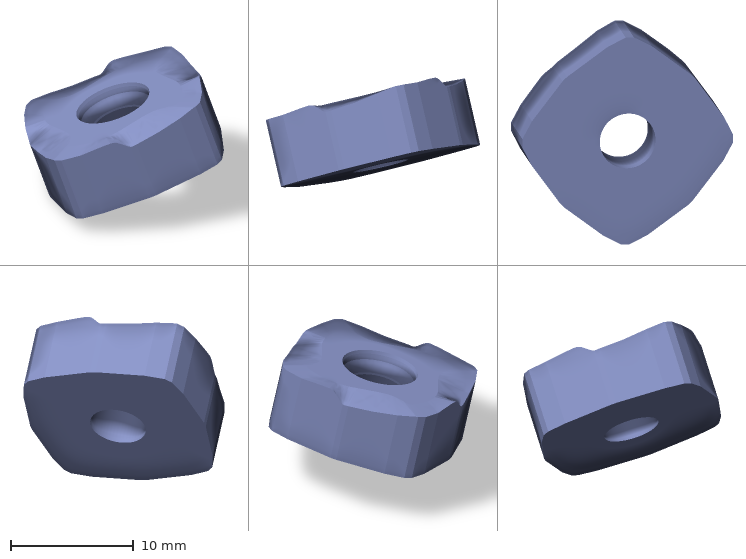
import cadquery as cq
import math

AXIS = cq.Vector(-0.31, -0.086, 0.95)
HEADING_DEG = -14.1

CORNERS = 4
FLAT_HEIGHT = 5.63
CORNER_HEIGHT = 5.57
BREAK_HEIGHT = 5.34
CREST_HEIGHT = 5.75
VALLEY_HEIGHT = 4.9
RISE_HEIGHT = 5.05
CREST_FRACTION = 0.64
HALFWAY = 0.5

CORNER = (8.69, 0)
FACET_START = (8.69, 0.35)
FACET_END = (8.62, 0.49)
SHOULDER = (7.93, 1.82)
MID_SIDE = (5.48, 5.12)

BORE_RADIUS = 4.6 / 2
RIM_RADIUS = 3.14
BEVEL_RADIUS = 3.05
BEVEL_DEPTH = 0.29
SEAT_TOP_RADIUS = 2.95
SEAT_TOP_DEPTH = 0.75
SEAT_MID_RADIUS = 2.61
SEAT_MID_DEPTH = 1.14
SEAT_END_RADIUS = 2.4
SEAT_END_DEPTH = 1.68
BORE_START_DEPTH = 1.8


def between(start, end, fraction):
    """Point part of the way from start to end."""
    return tuple(a + fraction * (b - a) for a, b in zip(start, end))


def mirrored(point):
    """Mirror image about the quadrant's diagonal."""
    return point[1], point[0]


def turned(point, height, quadrant):
    """Point of the first quadrant, moved to another quadrant and height."""
    spot = cq.Vector(point[0], point[1], height)
    turn = cq.Plane.XY().rotated((0, 0, quadrant * 360 / CORNERS))
    return turn.toWorldCoords(spot)


STATIONS = [
    (CORNER, CORNER_HEIGHT, (6.6, 0)),
    (FACET_START, CORNER_HEIGHT, (6.53, 0.4)),
    (FACET_END, CORNER_HEIGHT, (6.45, 0.63)),
    (SHOULDER, CORNER_HEIGHT, (6.04, 1.65)),
    (between(SHOULDER, MID_SIDE, CREST_FRACTION), CREST_HEIGHT, (5.23, 2.67)),
    (MID_SIDE, VALLEY_HEIGHT, (4.33, 3.35)),
    (mirrored(MID_SIDE), VALLEY_HEIGHT, (3.7, 3.65)),
    (mirrored(between(SHOULDER, MID_SIDE, HALFWAY)), RISE_HEIGHT, (2.07, 4.36)),
    (mirrored(SHOULDER), BREAK_HEIGHT, (1.14, 4.98)),
    (mirrored(FACET_END), CORNER_HEIGHT, (0.52, 5.95)),
    (mirrored(FACET_START), CORNER_HEIGHT, (0.32, 6.45)),
]


def slopes(values):
    """Central-difference directions at the points of a closed loop."""
    count = len(values)
    return [(values[(i + 1) % count] - values[i - 1]).normalized() for i in range(count)]


def edge_curve(start, end, start_slope, end_slope):
    """Cutting edge over one flat side, leaving and arriving at the given slopes."""
    run = cq.Vector(end.x - start.x, end.y - start.y, 0).normalized()
    lift = cq.Vector(0, 0, 1)
    tangents = [run + lift * start_slope, run + lift * end_slope]
    return cq.Edge.makeSpline([start, end], tangents=tangents)


def make_body():
    """Insert without its hole: flat centre, wavy rake faces, upright sides."""
    places = [(quadrant, station) for quadrant in range(CORNERS) for station in STATIONS]
    foot = [turned(outline, 0, q) for q, (outline, height, inner) in places]
    rim = [turned(outline, height, q) for q, (outline, height, inner) in places]
    centre = [turned(inner, FLAT_HEIGHT, q) for q, (outline, height, inner) in places]
    headings = slopes(centre)
    rises = [d.z / math.hypot(d.x, d.y) for d in slopes(rim)]
    crest = [height == CREST_HEIGHT for q, (outline, height, inner) in places]
    rises = [0 if top else rise for top, rise in zip(crest, rises)]

    faces = []
    foot_edges = []
    centre_edges = []
    for here in range(len(places)):
        after = (here + 1) % len(places)
        bottom = cq.Edge.makeLine(foot[here], foot[after])
        cutting = edge_curve(rim[here], rim[after], rises[here], rises[after])
        inner = cq.Edge.makeSpline(
            [centre[here], centre[after]], tangents=[headings[here], headings[after]]
        )
        uprights = [cq.Edge.makeLine(foot[i], rim[i]) for i in (here, after)]
        side = cq.Wire.assembleEdges([bottom, uprights[1], cutting, uprights[0]])
        faces.append(cq.Face.makeFromWires(side))
        faces.append(cq.Face.makeRuledSurface(inner, cutting))
        foot_edges.append(bottom)
        centre_edges.append(inner)
    faces.append(cq.Face.makeFromWires(cq.Wire.assembleEdges(foot_edges)))
    faces.append(cq.Face.makeFromWires(cq.Wire.assembleEdges(centre_edges)))
    return cq.Workplane(cq.Solid.makeSolid(cq.Shell.makeShell(faces)).fix())


def make_hole():
    """Screw hole: narrow bevel, collar, rounded seat, and a plain bore through."""
    return (
        cq.Workplane("XZ")
        .moveTo(0, FLAT_HEIGHT)
        .lineTo(RIM_RADIUS, FLAT_HEIGHT)
        .lineTo(BEVEL_RADIUS, FLAT_HEIGHT - BEVEL_DEPTH)
        .lineTo(SEAT_TOP_RADIUS, FLAT_HEIGHT - SEAT_TOP_DEPTH)
        .threePointArc(
            (SEAT_MID_RADIUS, FLAT_HEIGHT - SEAT_MID_DEPTH),
            (SEAT_END_RADIUS, FLAT_HEIGHT - SEAT_END_DEPTH),
        )
        .lineTo(BORE_RADIUS, FLAT_HEIGHT - BORE_START_DEPTH)
        .lineTo(BORE_RADIUS, 0)
        .lineTo(0, 0)
        .close()
        .revolve(360, (0, 0), (0, 1))
    )


def tilted_plane():
    """Plane square to the insert axis, its X direction aimed at the first corner."""
    heading = math.radians(HEADING_DEG)
    across = cq.Vector(math.cos(heading), math.sin(heading), 0)
    rise = -across.dot(AXIS) / AXIS.z
    return cq.Plane((0, 0, 0), across + cq.Vector(0, 0, rise), AXIS)


insert = make_body().cut(make_hole())
result = cq.Workplane(insert.val().moved(cq.Location(tilted_plane())))